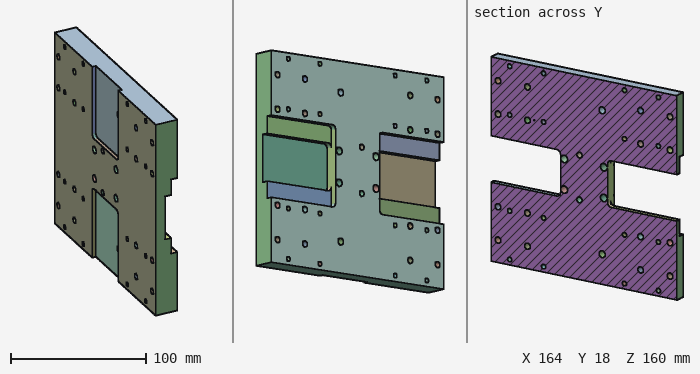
import cadquery as cq

plate_width = 164.0
plate_thickness = 18.0
plate_height = 160.0
front_y = -plate_thickness / 2
back_y = plate_thickness / 2

pocket_corner_radius = 3.0
island_size = 42.0

front_pocket_width = 42.0
front_pocket_depth = 3.0

back_wide_height = 62.0
back_wide_depth = 5.0
back_narrow_height = 36.0
back_narrow_depth = 10.0

clearance_diameter = 4.5
clearance_center = (63.0, 49.25)
clearance_spacing = (26.0, 26.0)

small_diameter = 3.3
small_center = (50.75, 56.5)
small_spacing = (30.0, 38.0)

island_hole_diameter = 5.5
island_hole_spacing = (35.0, 24.0)

offset_hole_diameter = 4.2
offset_hole_x = -4.0
offset_hole_spacing = 35.0

pocket_hole_diameter = 5.0
pocket_hole_x = 16.0
pocket_hole_spacing = 112.5


def box_between(x_range, y_range, z_range):
    """Box spanning the given (low, high) range along each axis."""
    x_size = x_range[1] - x_range[0]
    y_size = y_range[1] - y_range[0]
    z_size = z_range[1] - z_range[0]
    corner = (x_range[0], y_range[0], z_range[0])
    return cq.Workplane("XY").box(x_size, y_size, z_size, centered=False).translate(corner)


def front_pocket():
    """Upper front pocket, rounded at its inner corners."""
    x_range = (-front_pocket_width / 2, front_pocket_width / 2)
    y_range = (front_y, front_y + front_pocket_depth)
    z_range = (island_size / 2, plate_height / 2)
    pocket = box_between(x_range, y_range, z_range)
    return pocket.faces("<Z").edges("|Y").fillet(pocket_corner_radius)


def back_pocket_step(height, depth):
    """One level of the left back pocket, rounded at its inner corners."""
    x_range = (-plate_width / 2, -island_size / 2)
    y_range = (back_y - depth, back_y)
    z_range = (-height / 2, height / 2)
    pocket = box_between(x_range, y_range, z_range)
    return pocket.faces(">X").edges("|Y").fillet(pocket_corner_radius)


def rectangle_points(center, spacing):
    """Corners of a rectangle in the XZ plane."""
    points = []
    for x_side in (-1, 1):
        for z_side in (-1, 1):
            x = center[0] + x_side * spacing[0] / 2
            z = center[1] + z_side * spacing[1] / 2
            points.append((x, z))
    return points


def corner_group_points(center, spacing):
    """The same rectangle of holes repeated near all four corners of the plate."""
    points = []
    group_spacing = (2 * center[0], 2 * center[1])
    for group_center in rectangle_points((0, 0), group_spacing):
        points += rectangle_points(group_center, spacing)
    return points


def pair_points(x, spacing):
    """Two points, one above the other, about the middle height."""
    return [(x, -spacing / 2), (x, spacing / 2)]


def drill_through(body, points, diameter):
    """Drill holes along Y through the full thickness at (x, z) points."""
    back_plane = cq.Workplane("XZ", origin=(0, back_y, 0))
    drills = back_plane.pushPoints(points).circle(diameter / 2).extrude(plate_thickness)
    return body.cut(drills)


result = cq.Workplane("XY").box(plate_width, plate_thickness, plate_height)

upper_pocket = front_pocket()
result = result.cut(upper_pocket).cut(upper_pocket.mirror("XY"))

back_steps = (
    (back_wide_height, back_wide_depth),
    (back_narrow_height, back_narrow_depth),
)
for step_height, step_depth in back_steps:
    left_pocket = back_pocket_step(step_height, step_depth)
    result = result.cut(left_pocket).cut(left_pocket.mirror("YZ"))

hole_sets = (
    (corner_group_points(clearance_center, clearance_spacing), clearance_diameter),
    (corner_group_points(small_center, small_spacing), small_diameter),
    (rectangle_points((0, 0), island_hole_spacing), island_hole_diameter),
    (pair_points(offset_hole_x, offset_hole_spacing), offset_hole_diameter),
    (pair_points(pocket_hole_x, pocket_hole_spacing), pocket_hole_diameter),
)
for hole_points, hole_diameter in hole_sets:
    result = drill_through(result, hole_points, hole_diameter)